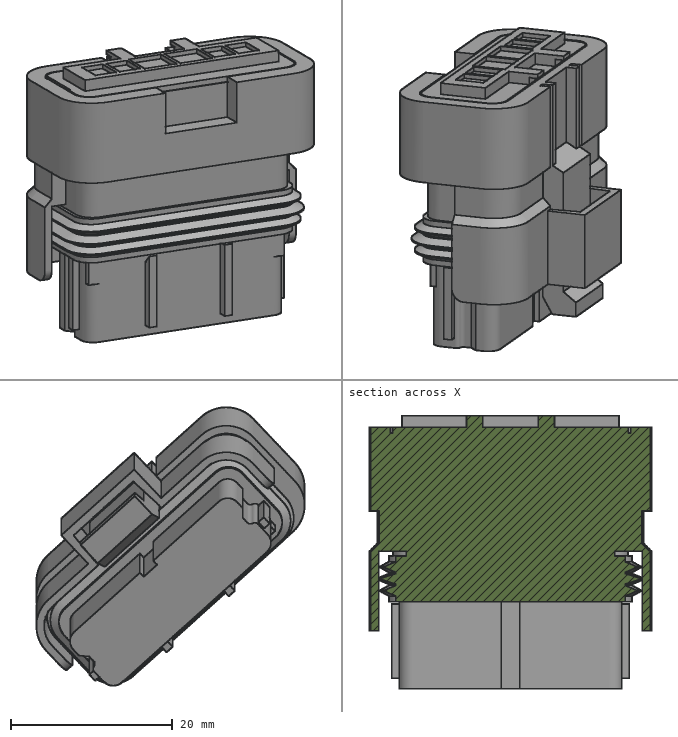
import cadquery as cq

TOP_Z = 33.8

COLLAR_X, COLLAR_Y, COLLAR_R = 16.68, 34.9, 4.55
COLLAR_Z0, COLLAR_Z1 = 22.0, 32.35
SHELL_Z0, SHELL_Z1 = 7.15, 17.97
SHELL_WALL = 0.98
SHELL_END_R = 1.57
KEYWAY_X0, KEYWAY_W, KEYWAY_DEPTH = 5.75, 9.9, 5.25

PLUG_X, PLUG_Y, PLUG_R = 8.72, 27.57, 1.6
BODY_X, BODY_Y, BODY_R = 10.05, 29.1, 2.27
SEAL_X, SEAL_Y, SEAL_R = 11.03, 30.1, 2.37
SEAL_Z0, SEAL_Z1 = 10.75, 16.45
LIP_PITCH = 1.45
LIP_HALF_HEIGHT = 0.65
LIP_TIP = 0.17
OUTER_LIP, MIDDLE_LIP = 1.05, 1.43

RIB_Z0, RIB_Z1 = 1.3, 10.5
SIDE_RIB_X0, SIDE_RIB_X1, SIDE_RIB_HEIGHT = 1.08, 2.15, 0.9
BACK_RIB_HEIGHT, BACK_RIB_W, BACK_RIB_Y, BACK_RIB_SLOPE = 1.15, 1.05, 5.25, 1.05
STOP_X0, STOP_Z0, STOP_INSET = 3.25, 7.57, 0.2
CHANNEL_DEPTH, CHANNEL_X0, CHANNEL_X1 = 0.85, -1.75, 1.0
CHANNEL_FLOOR_X0, CHANNEL_FLOOR_X1 = -0.85, 0.0
FACE_GROOVE_W, FACE_GROOVE_DEPTH = 2.25, 0.7

PLATE_X, PLATE_Y, PLATE_R = 11.55, 30.47, 2.1
SEAM_W, SEAM_DEPTH = 0.17, 0.7
NOTCH_X0, NOTCH_X1, NOTCH_W = -4.3, 1.7, 0.42
BAR_X0, BAR_X1, BAR_Y = -2.9, 3.07, 26.87
TAB_X0, TAB_Y, TAB_W = -6.7, 4.43, 2.05
TAB_FOOT_X, TAB_LIP_Z = -5.6, 33.25
WINDOW_X, WINDOW_DEPTH = 0.05, 0.55
WINDOWS = [(2.48, 4.3, 4.45), (6.6, 3.65, 2.85), (9.95, 3.65, 2.85)]

GUARD_X0, GUARD_W, GUARD_WALL, GUARD_Z1 = -13.25, 12.3, 1.05, 16.58
LATCH_X0, LATCH_X1, LATCH_W = -9.77, -7.0, 9.15
LATCH_ROOT_Z, LATCH_SHOULDER_Z = 22.75, 21.22
HOOK_X0, HOOK_X1, HOOK_Z0 = -11.45, -8.3, 2.85
HOOK_TOP_Z, HOOK_BEVEL_Z, HOOK_NECK_Z = 4.7, 5.05, 5.95
SLOT_W = 10.6
SLOT_TAPER = 0.28
PAD_W = 1.05


def block(x0, x1, y0, y1, z0, z1):
    return cq.Workplane("XY").box(x1 - x0, y1 - y0, z1 - z0, centered=False).translate((x0, y0, z0))


def rounded(size_x, size_y, radius, z0, z1):
    """Upright block centred on the origin with rounded vertical edges."""
    base = cq.Workplane("XY").workplane(offset=z0).rect(size_x, size_y)
    return base.extrude(z1 - z0).edges("|Z").fillet(radius)


def collar_offset(inset, z0, z1):
    return rounded(COLLAR_X - 2 * inset, COLLAR_Y - 2 * inset, COLLAR_R - inset, z0, z1)


def half_shell():
    """Neck and skirt on the -X half, hollow below the neck."""
    shell = collar_offset(0, SHELL_Z0, SHELL_Z1).faces(">Z").chamfer(SHELL_WALL)
    shell = shell.union(collar_offset(SHELL_WALL, SHELL_Z1, COLLAR_Z0))
    shell = shell.cut(collar_offset(SHELL_WALL, SHELL_Z0, SHELL_Z1 - SHELL_WALL))
    half = block(-COLLAR_X / 2, 0, -COLLAR_Y / 2, COLLAR_Y / 2, SHELL_Z0, COLLAR_Z0)
    half = half.edges("|Y and >X and <Z").fillet(SHELL_END_R)
    return shell.intersect(half)


def seal():
    """Sleeve around the inner body with three tapered lips."""
    ring = rounded(SEAL_X, SEAL_Y, SEAL_R, SEAL_Z0, SEAL_Z1)
    middle_z = (SEAL_Z0 + SEAL_Z1) / 2
    for step, height in ((-1, OUTER_LIP), (0, MIDDLE_LIP), (1, OUTER_LIP)):
        lip_z = middle_z + step * LIP_PITCH
        tip = rounded(SEAL_X + 2 * height, SEAL_Y + 2 * height, SEAL_R + height,
                      lip_z - LIP_HALF_HEIGHT, lip_z + LIP_HALF_HEIGHT)
        ring = ring.union(tip.faces("<Z or >Z").chamfer(LIP_HALF_HEIGHT - LIP_TIP / 2, height))
    return ring


def side_channel():
    """Channel in the -Y face of the plug: one sloped flank, a flat floor, one S-shaped flank."""
    face_y = -PLUG_Y / 2
    floor_y = face_y + CHANNEL_DEPTH
    s_middle = ((CHANNEL_FLOOR_X1 + CHANNEL_X1) / 2, (floor_y + face_y) / 2)
    profile = (cq.Workplane("XY").moveTo(CHANNEL_X0, face_y).lineTo(CHANNEL_FLOOR_X0, floor_y)
               .lineTo(CHANNEL_FLOOR_X1, floor_y)
               .tangentArcPoint(s_middle, relative=False)
               .tangentArcPoint((CHANNEL_X1, face_y), relative=False).close())
    return profile.extrude(SEAL_Z0)


def back_ribs():
    """Two ribs on the +X face of the plug; the top of the -Y one slopes down toward the plug."""
    face_x = PLUG_X / 2
    tip_x = face_x + BACK_RIB_HEIGHT
    ribs = cq.Workplane("XY")
    for center_y, root_z in ((BACK_RIB_Y, RIB_Z1), (-BACK_RIB_Y, RIB_Z1 - BACK_RIB_SLOPE)):
        outline = [(0, RIB_Z0), (tip_x, RIB_Z0), (tip_x, RIB_Z1), (face_x, root_z), (0, root_z)]
        rib = cq.Workplane("XZ").polyline(outline).close().extrude(BACK_RIB_W / 2, both=True)
        ribs = ribs.add(rib.translate((0, center_y, 0)))
    return ribs.combine()


def plug():
    body = rounded(PLUG_X, PLUG_Y, PLUG_R, 0, SEAL_Z0)
    channel = side_channel()
    body = body.cut(channel).cut(channel.mirror("XZ"))
    body = body.cut(block(-PLUG_X / 2, -PLUG_X / 2 + FACE_GROOVE_DEPTH,
                          -FACE_GROOVE_W / 2, FACE_GROOVE_W / 2, 0, SEAL_Z0))
    side_y = PLUG_Y / 2 + SIDE_RIB_HEIGHT
    body = body.union(block(SIDE_RIB_X0, SIDE_RIB_X1, -side_y, side_y, RIB_Z0, RIB_Z1))
    stop_y = PLUG_Y / 2 - STOP_INSET
    body = body.union(block(STOP_X0, PLUG_X / 2, -stop_y, stop_y, STOP_Z0, SEAL_Z0))
    return body.union(back_ribs())


def plate_seam():
    """Narrow groove that separates the insert plate from the collar."""
    z0 = COLLAR_Z1 - SEAM_DEPTH
    outer = rounded(PLATE_X, PLATE_Y, PLATE_R, z0, COLLAR_Z1)
    plate = rounded(PLATE_X - 2 * SEAM_W, PLATE_Y - 2 * SEAM_W, PLATE_R - SEAM_W, z0, COLLAR_Z1)
    notch = block(NOTCH_X0, NOTCH_X1, -PLATE_Y / 2, -PLATE_Y / 2 + NOTCH_W, z0, COLLAR_Z1)
    return outer.cut(plate).union(notch)


def terminal_bar():
    """Raised bar with two hooked tabs and six shallow terminal windows."""
    bar = block(BAR_X0, BAR_X1, -BAR_Y / 2, BAR_Y / 2, COLLAR_Z1, TOP_Z)
    for side in (-1, 1):
        y0 = side * TAB_Y - TAB_W / 2
        bar = bar.union(block(TAB_FOOT_X, BAR_X0, y0, y0 + TAB_W, COLLAR_Z1, TOP_Z))
        bar = bar.union(block(TAB_X0, BAR_X0, y0, y0 + TAB_W, TAB_LIP_Z, TOP_Z))
        for center_y, size_x, size_y in WINDOWS:
            window = cq.Workplane("XY").box(size_x, size_y, 2 * WINDOW_DEPTH)
            bar = bar.cut(window.translate((WINDOW_X, side * center_y, TOP_Z)))
    return bar


def latch_opening():
    """Space around the latch, through the guard, shell, neck and collar."""
    back_y = SLOT_W / 2
    front_y = back_y - SLOT_TAPER
    front_x = GUARD_X0 + GUARD_WALL
    outline = [(LATCH_X1, -back_y), (-COLLAR_X / 2, -back_y), (front_x, -front_y),
               (front_x, front_y), (-COLLAR_X / 2, back_y), (LATCH_X1, back_y)]
    return cq.Workplane("XY").polyline(outline).close().extrude(TOP_Z)


def latch():
    """Latch arm joined to the neck, with a hooked lower end and two guide pads above."""
    profile = [(LATCH_X1, LATCH_ROOT_Z), (LATCH_X0, LATCH_SHOULDER_Z), (LATCH_X0, HOOK_NECK_Z),
               (HOOK_X0, HOOK_TOP_Z), (HOOK_X0, HOOK_Z0), (HOOK_X1, HOOK_Z0), (LATCH_X1, HOOK_BEVEL_Z)]
    arm = cq.Workplane("XZ").polyline(profile).close().extrude(LATCH_W / 2, both=True)
    for y0 in (-LATCH_W / 2, LATCH_W / 2 - PAD_W):
        arm = arm.union(block(-COLLAR_X / 2, LATCH_X1, y0, y0 + PAD_W, COLLAR_Z0, COLLAR_Z1))
    return arm


collar = collar_offset(0, COLLAR_Z0, COLLAR_Z1)
collar = collar.cut(block(KEYWAY_X0, COLLAR_X / 2, -KEYWAY_W / 2, KEYWAY_W / 2,
                          COLLAR_Z1 - KEYWAY_DEPTH, COLLAR_Z1))
guard = block(GUARD_X0, -COLLAR_X / 2, -GUARD_W / 2, GUARD_W / 2, SHELL_Z0, GUARD_Z1)

result = collar.union(half_shell()).union(guard)
result = result.cut(latch_opening()).cut(plate_seam())
result = result.union(rounded(BODY_X, BODY_Y, BODY_R, SEAL_Z1, COLLAR_Z0))
result = result.union(seal()).union(plug()).union(terminal_bar()).union(latch())